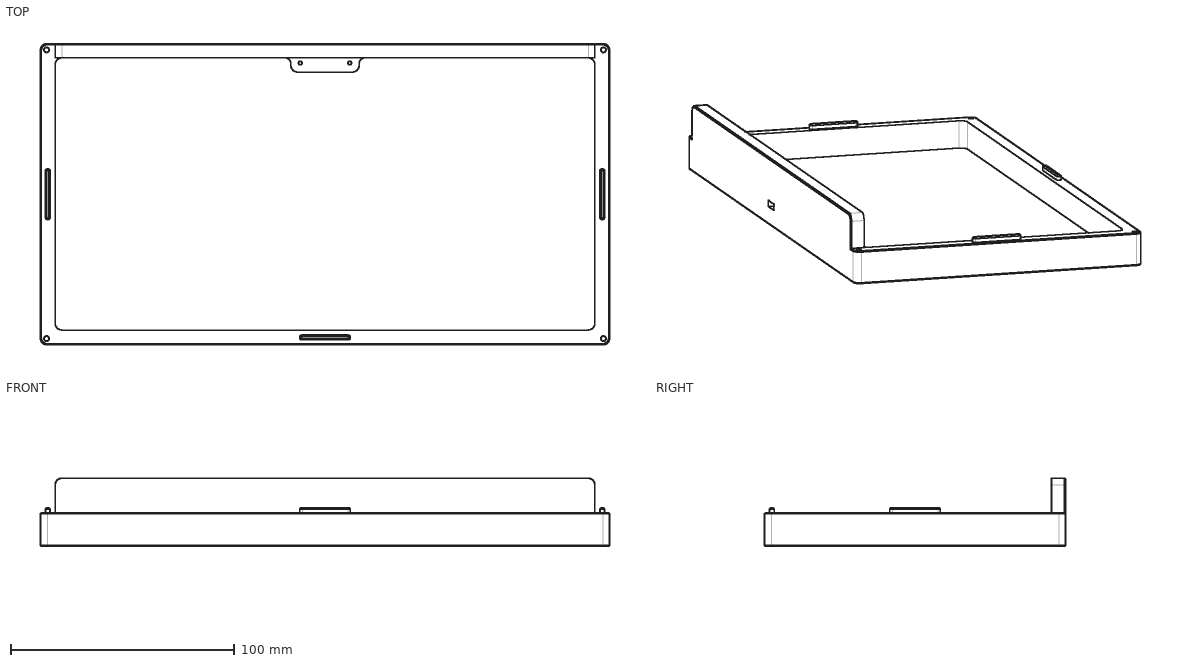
import cadquery as cq
import math

length = 255.0
width = 135.0
height = 30.5
rim_height = 15.0
wall = 6.6
floor_thickness = 2.5
corner_radius = 3.0
edge_chamfer = 0.5

back_wall_thickness = 6.5
back_wall_top_radius = 3.0

key_length = 22.7
key_width = 2.2
key_height = 2.3
key_chamfer = 0.65
key_inset = 3.3

corner_hole_diameter = 2.2
corner_hole_inset = 2.8

ledge_length = 30.5
ledge_depth = 6.5
ledge_height = 4.3
ledge_corner_radius = 3.0
ledge_flare_radius = 2.5
ledge_hole_diameter = 1.6
ledge_hole_spacing = 22.2
ledge_hole_offset = 2.3

slot_length = 9.7
slot_height = 3.8
slot_gap = 0.8
slot_step = 0.5
slot_step_depth = 2.0

inner_length = length - 2 * wall
inner_back = width / 2 - back_wall_thickness
inner_front = wall - width / 2
inner_width = inner_back - inner_front
slot_bottom = floor_thickness + ledge_height + slot_gap


def make_tray():
    """Open tray with a back wall that rises above the rim."""
    base = (
        cq.Workplane("XY")
        .box(length, width, rim_height, centered=(True, True, False))
        .edges("|Z")
        .fillet(corner_radius)
        .faces("<Z or >Z")
        .edges()
        .chamfer(edge_chamfer)
    )
    cavity = (
        cq.Workplane("XY", origin=(0, (inner_front + inner_back) / 2, floor_thickness))
        .rect(inner_length, inner_width)
        .extrude(height)
        .edges("|Z")
        .fillet(corner_radius)
    )
    back_wall = (
        cq.Workplane("XY", origin=(0, inner_back, 0))
        .box(inner_length, back_wall_thickness, height, centered=(True, False, False))
        .edges("|Y and >Z")
        .fillet(back_wall_top_radius)
        .faces(">Y")
        .edges()
        .chamfer(edge_chamfer)
    )
    return base.cut(cavity).union(back_wall)


def make_ledge():
    """Ledge with rounded front corners, concave flares at the wall and two holes."""
    half = ledge_length / 2
    front = inner_back - ledge_depth
    flare = ledge_flare_radius
    corner = ledge_corner_radius
    arc_middle = 1 - math.sqrt(0.5)
    flare_middle_x = half + flare * arc_middle
    flare_middle_y = inner_back - flare * arc_middle
    corner_middle_x = half - corner * arc_middle
    corner_middle_y = front + corner * arc_middle

    ledge = (
        cq.Workplane("XY", origin=(0, 0, floor_thickness))
        .moveTo(half + flare, inner_back)
        .threePointArc((flare_middle_x, flare_middle_y), (half, inner_back - flare))
        .lineTo(half, front + corner)
        .threePointArc((corner_middle_x, corner_middle_y), (half - corner, front))
        .lineTo(corner - half, front)
        .threePointArc((-corner_middle_x, corner_middle_y), (-half, front + corner))
        .lineTo(-half, inner_back - flare)
        .threePointArc((-flare_middle_x, flare_middle_y), (-half - flare, inner_back))
        .close()
        .extrude(ledge_height)
    )
    holes = (
        cq.Workplane("XY", origin=(0, inner_back - ledge_hole_offset, floor_thickness))
        .rarray(ledge_hole_spacing, 2.5, 2, 1)
        .circle(ledge_hole_diameter / 2)
        .extrude(ledge_height)
    )
    return ledge.cut(holes)


def make_key(x, y, angle):
    """Round-ended key with a chamfered top, standing on the rim at (x, y)."""
    return (
        cq.Workplane("XY", origin=(x, y, rim_height))
        .slot2D(key_length, key_width, angle)
        .extrude(key_height)
        .faces(">Z")
        .edges()
        .chamfer(key_chamfer)
    )


def make_corner_holes():
    """Cutters for the four through holes in the rim corners."""
    return (
        cq.Workplane("XY")
        .rarray(length - 2 * corner_hole_inset, width - 2 * corner_hole_inset, 2, 2)
        .circle(corner_hole_diameter / 2)
        .extrude(rim_height)
    )


def make_slot():
    """Cutter for the slot: a shallow recess with a smaller opening through the wall."""
    recess = cq.Workplane("XY", origin=(0, inner_back, slot_bottom)).box(
        slot_length, slot_step_depth, slot_height, centered=(True, False, False)
    )
    opening = cq.Workplane("XY", origin=(0, inner_back, slot_bottom + slot_step)).box(
        slot_length - 2 * slot_step,
        back_wall_thickness,
        slot_height - 2 * slot_step,
        centered=(True, False, False),
    )
    return recess.union(opening)


key_x = length / 2 - key_inset
key_y = width / 2 - key_inset
key_places = ((0, -key_y, 0), (key_x, 0, 90), (-key_x, 0, 90))

result = make_tray().union(make_ledge())
for x, y, angle in key_places:
    result = result.union(make_key(x, y, angle))
result = result.cut(make_corner_holes()).cut(make_slot())